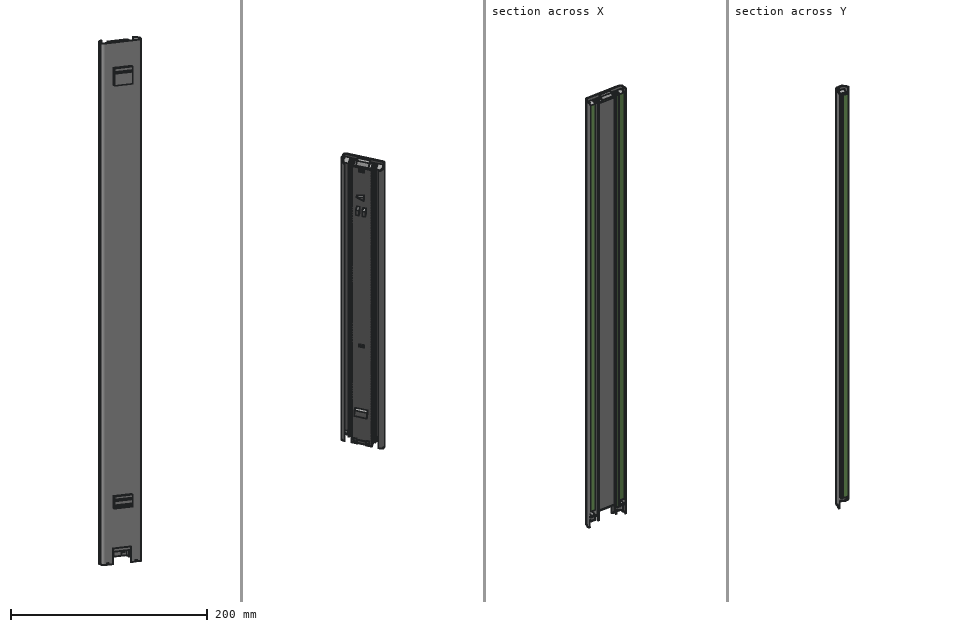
import cadquery as cq
import math


LENGTH = 550
TOP = LENGTH / 2
BOTTOM = -TOP

SHEET = 1.0
BACK_X = 6.5
WALL_Y = 22.0
BULGE_Y = 22.8
BULGE_HALF = 2.5
CORNER_R = 3.0
LIP_X = -6.5
LIP_MID_X = -5.0
LIP_MID_Y = 20.5
LIP_TIP_Y = 17.5
LIP_SETBACK = 5.0
LIP_CUT_X = -3.5

BACK_NOTCH_HALF = 10.0
BACK_NOTCH_HEIGHT = 16.5
RELIEF_Y = 16.0
RELIEF_WIDTH = 1.5
RELIEF_HEIGHT = 1.5

INNER_HALF = 11.0
INNER_FRONT_X = -6.0
INNER_FLANGE_X = 0.5
MIDDLE_HALF = 14.5
MIDDLE_FRONT_X = -5.0
MIDDLE_BACK_X = 4.0
CLEARANCE = 0.3

INNER_TOP = 273.5
INNER_BOTTOM = -270.5
MIDDLE_TOP = 272.0
MIDDLE_BOTTOM = -263.0
CAGE_TOP = 271.5
CAGE_BOTTOM = -263.0

INNER_CAGE_X = (-4.0, 2.0)
OUTER_CAGE_X = (-3.0, 4.5)
OUTER_CAGE_Y = 20.5
CAGE_WINDOW_Y = (15.5, 19.0)
CAGE_WINDOW_Z = (-260.0, -255.0)

STOP_HALF = 6.5
STOP_BASE_HALF = 9.5
STOP_FRONT_X = -3.5
STOP_TOP_X = 0.5
STOP_FOOT_Z = 269.5
STOP_EDGE_Z = 271.5

WINDOW_WIDTH = 5.5
WINDOW_HEIGHT = 4.0
WINDOW_LEVELS = (267.5, -77.0)
SLIT_WIDTH = 1.5
END_RECESS_DEPTH = 0.5
END_NOTCH_WIDTH = 9.0
END_NOTCH_TOP = -263.5
END_SLOT_WIDTH = 3.5
END_SLOT_HEIGHT = 5.5
END_SLOT_Y = 6.5
END_SLOT_BOTTOM = -267.5

PROJECTION_X = -10.5
PIP_X = -8.0
PIP_POINTS = [(5.0, 218.0), (-3.0, 221.0), (-3.0, 213.5)]
BRACKET_HALF = 5.0
BRACKET_BOTTOM = 186.5
BRACKET_HEIGHT = 10.0
BRACKET_SLOT = 3.5
TONGUE_HALF = 6.5
TONGUE_TOP = -201.0
TONGUE_STEP = -207.0
TONGUE_TIP = -210.0
TONGUE_ROOT_X = -7.5
TONGUE_SHOULDER_X = -9.5

HOOK_HALF = 10.0
HOOK_GROOVE_X = 9.0
UPPER_HOOK_X = 10.5
UPPER_HOOK_TOP = 248.5
UPPER_HOOK_BOTTOM = 230.5
UPPER_GROOVE_TOP = 245.0
LOWER_HOOK_X = 10.0
LOWER_HOOK_TOP = -203.0
LOWER_HOOK_BOTTOM = -215.5
LOWER_GROOVE_TOPS = (-206.0, -212.5)
GROOVE_HEIGHT = 1.5


def block(x, y, z):
    """A box spanning the given (low, high) ranges."""
    return cq.Workplane("XY").box(
        x[1] - x[0], y[1] - y[0], z[1] - z[0], centered=False
    ).translate((x[0], y[0], z[0]))


def across(points, half_width):
    """An XZ outline extruded to both sides of the mid plane."""
    return cq.Workplane("XZ").polyline(points).close().extrude(half_width, both=True)


def channel(half, front_x, back_x, web_at_front, bottom, top):
    """A U channel: a web across Y and a flange along X on each side."""
    solid = block((front_x, back_x), (-half, half), (bottom, top))
    cavity_y = (SHEET - half, half - SHEET)
    if web_at_front:
        cavity_x = (front_x + SHEET, back_x)
    else:
        cavity_x = (front_x, back_x - SHEET)
    return solid.cut(block(cavity_x, cavity_y, (bottom, top)))


def outer_side(side):
    """Half of the outer rail: back, corner, wall, bulge and the lip curled round the balls."""
    corner_x = BACK_X - CORNER_R
    corner_y = WALL_Y - CORNER_R
    corner_in = CORNER_R - SHEET
    diagonal = math.sqrt(0.5)
    return (
        cq.Workplane("XY", origin=(0, 0, BOTTOM))
        .moveTo(BACK_X, 0)
        .lineTo(BACK_X, side * corner_y)
        .threePointArc(
            (corner_x + CORNER_R * diagonal, side * (corner_y + CORNER_R * diagonal)),
            (corner_x, side * WALL_Y),
        )
        .lineTo(BULGE_HALF, side * WALL_Y)
        .threePointArc((0, side * BULGE_Y), (-BULGE_HALF, side * WALL_Y))
        .threePointArc((LIP_MID_X, side * LIP_MID_Y), (LIP_X, side * LIP_TIP_Y))
        .lineTo(LIP_X + SHEET, side * LIP_TIP_Y)
        .threePointArc(
            (LIP_MID_X + SHEET * diagonal, side * (LIP_MID_Y - SHEET * diagonal)),
            (-BULGE_HALF, side * (WALL_Y - SHEET)),
        )
        .threePointArc((0, side * (BULGE_Y - SHEET)), (BULGE_HALF, side * (WALL_Y - SHEET)))
        .lineTo(corner_x, side * (WALL_Y - SHEET))
        .threePointArc(
            (corner_x + corner_in * diagonal, side * (corner_y + corner_in * diagonal)),
            (BACK_X - SHEET, side * corner_y),
        )
        .lineTo(BACK_X - SHEET, 0)
        .close()
        .extrude(LENGTH)
    )


def grooved_hook(tip_x, top, bottom, groove_tops):
    """A hook block on the outer rail's back with grooves across its far face."""
    hook = block((BACK_X, tip_x), (-HOOK_HALF, HOOK_HALF), (bottom, top))
    for groove_top in groove_tops:
        groove_z = (groove_top - GROOVE_HEIGHT, groove_top)
        hook = hook.cut(block((HOOK_GROOVE_X, tip_x), (-HOOK_HALF, HOOK_HALF), groove_z))
    return hook


def make_outer_rail():
    rail = outer_side(1).union(outer_side(-1))

    lip_cut = [(LIP_X, BOTTOM), (LIP_CUT_X, BOTTOM), (LIP_X, BOTTOM + LIP_SETBACK)]
    rail = rail.cut(across(lip_cut, BULGE_Y))

    back_x = (BACK_X - SHEET, BACK_X)
    notch_y = (-BACK_NOTCH_HALF, BACK_NOTCH_HALF)
    rail = rail.cut(block(back_x, notch_y, (BOTTOM, BOTTOM + BACK_NOTCH_HEIGHT)))
    for side in (-1, 1):
        center_y = side * RELIEF_Y
        relief_y = (center_y - RELIEF_WIDTH / 2, center_y + RELIEF_WIDTH / 2)
        rail = rail.cut(block(back_x, relief_y, (BOTTOM, BOTTOM + RELIEF_HEIGHT)))

    upper_hook = grooved_hook(UPPER_HOOK_X, UPPER_HOOK_TOP, UPPER_HOOK_BOTTOM, [UPPER_GROOVE_TOP])
    lower_hook = grooved_hook(LOWER_HOOK_X, LOWER_HOOK_TOP, LOWER_HOOK_BOTTOM, LOWER_GROOVE_TOPS)
    return rail.union(upper_hook).union(lower_hook)


def make_middle_rail():
    rail = channel(MIDDLE_HALF, MIDDLE_FRONT_X, MIDDLE_BACK_X, False, MIDDLE_BOTTOM, MIDDLE_TOP)
    stop = [
        (MIDDLE_BACK_X, STOP_FOOT_Z),
        (STOP_FRONT_X, STOP_FOOT_Z),
        (STOP_FRONT_X, STOP_EDGE_Z),
        (STOP_TOP_X, TOP),
        (MIDDLE_BACK_X, TOP),
    ]
    base_y = (-STOP_BASE_HALF, STOP_BASE_HALF)
    base = block((STOP_FRONT_X, MIDDLE_BACK_X), base_y, (STOP_FOOT_Z, STOP_EDGE_Z))
    return rail.union(across(stop, STOP_HALF)).union(base)


def make_inner_rail():
    rail = channel(INNER_HALF, INNER_FRONT_X, INNER_FLANGE_X, True, INNER_BOTTOM, INNER_TOP)

    def opening(center_y, width, bottom, top, depth=SHEET):
        x = (INNER_FRONT_X, INNER_FRONT_X + depth)
        y = (center_y - width / 2, center_y + width / 2)
        return block(x, y, (bottom, top))

    for level in WINDOW_LEVELS:
        half_height = WINDOW_HEIGHT / 2
        rail = rail.cut(opening(0, WINDOW_WIDTH, level - half_height, level + half_height))
    rail = rail.cut(opening(0, SLIT_WIDTH, max(WINDOW_LEVELS), INNER_TOP))

    rail = rail.cut(opening(0, END_NOTCH_WIDTH, INNER_BOTTOM, END_NOTCH_TOP, END_RECESS_DEPTH))
    for side in (-1, 1):
        slot_top = END_SLOT_BOTTOM + END_SLOT_HEIGHT
        slot = opening(side * END_SLOT_Y, END_SLOT_WIDTH, END_SLOT_BOTTOM, slot_top, END_RECESS_DEPTH)
        rail = rail.cut(slot)

    pip = cq.Workplane("YZ", origin=(PIP_X, 0, 0)).polyline(PIP_POINTS).close()
    rail = rail.union(pip.extrude(INNER_FRONT_X - PIP_X))

    bracket_z = (BRACKET_BOTTOM, BRACKET_BOTTOM + BRACKET_HEIGHT)
    for rib_y in ((-BRACKET_HALF, -BRACKET_SLOT / 2), (BRACKET_SLOT / 2, BRACKET_HALF)):
        rail = rail.union(block((PROJECTION_X, INNER_FRONT_X), rib_y, bracket_z))

    tongue = [
        (INNER_FRONT_X, TONGUE_TOP),
        (TONGUE_SHOULDER_X, TONGUE_TOP),
        (PROJECTION_X, TONGUE_STEP),
        (PROJECTION_X, TONGUE_TIP),
        (TONGUE_ROOT_X, TONGUE_TIP),
        (TONGUE_ROOT_X, TONGUE_STEP),
        (INNER_FRONT_X, TONGUE_STEP),
    ]
    return rail.union(across(tongue, TONGUE_HALF))


def mirrored(y, side):
    """A Y range placed on the given side of the mid plane."""
    return sorted((side * y[0], side * y[1]))


def make_cage(side, x, y):
    """A ball cage strip between two rails, on the given side of the slide."""
    return block(x, mirrored(y, side), (CAGE_BOTTOM, CAGE_TOP))


def make_outer_cage(side):
    """A cage in the outer rail, with a window near its bottom end."""
    cage = make_cage(side, OUTER_CAGE_X, (MIDDLE_HALF + CLEARANCE, OUTER_CAGE_Y))
    return cage.cut(block(OUTER_CAGE_X, mirrored(CAGE_WINDOW_Y, side), CAGE_WINDOW_Z))


outer_rail = make_outer_rail()
middle_rail = make_middle_rail()
inner_rail = make_inner_rail()

inner_cage_y = (INNER_HALF + CLEARANCE, MIDDLE_HALF - SHEET - CLEARANCE)
cages = []
for cage_side in (-1, 1):
    cages.append(make_cage(cage_side, INNER_CAGE_X, inner_cage_y).val())
    cages.append(make_outer_cage(cage_side).val())

result = cq.Compound.makeCompound([outer_rail.val(), middle_rail.val(), inner_rail.val(), *cages])